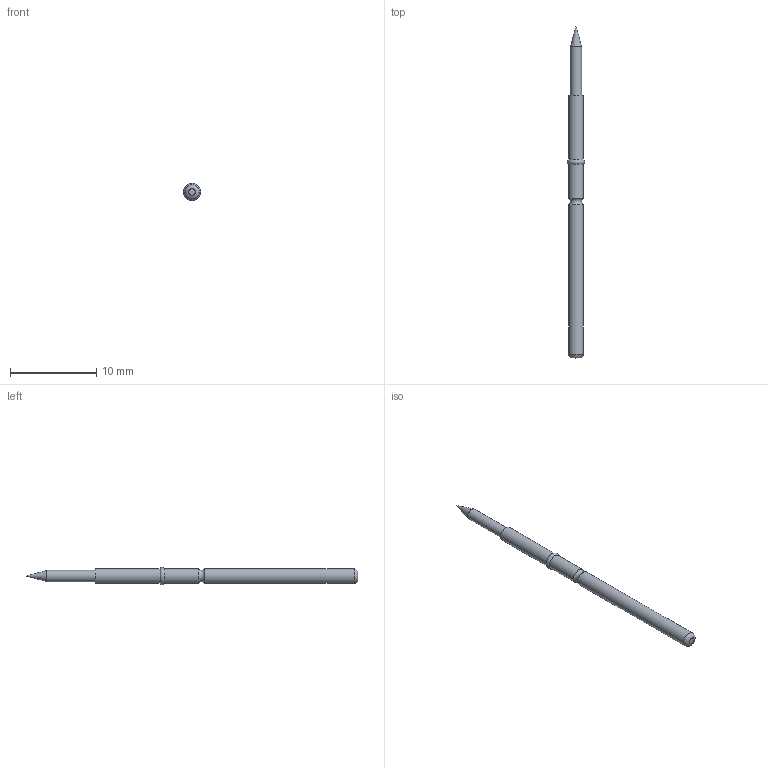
import cadquery as cq
import math

total_length = 38.4
needle_radius = 0.65
barrel_radius = 0.85
collar_radius = 1.0
groove_floor_radius = needle_radius

tip_angle = 30.0
tail_fillet = 0.45

cone_end = needle_radius / math.tan(math.radians(tip_angle / 2))
barrel_start = 8.0
collar_start = 15.5
collar_width = 0.5
groove_start = 19.95
groove_width = 0.7

tip_y = total_length / 2


def revolve_about_pin_axis(profile):
    """Turn a closed half profile into a full solid of revolution about Y."""
    return profile.revolve(360, (0, 0, 0), (0, 1, 0))


def make_needle():
    """Cylindrical needle with a sharp conical point."""
    profile = (
        cq.Workplane("XY")
        .moveTo(0, tip_y)
        .lineTo(needle_radius, tip_y - cone_end)
        .lineTo(needle_radius, tip_y - barrel_start)
        .lineTo(0, tip_y - barrel_start)
        .close()
    )
    return revolve_about_pin_axis(profile)


def make_barrel():
    """Plain barrel with a rounded tail."""
    front_face = cq.Workplane("XZ", origin=(0, tip_y - barrel_start, 0))
    barrel = front_face.circle(barrel_radius).extrude(total_length - barrel_start)
    return barrel.faces("<Y").edges().fillet(tail_fillet)


def make_arc_ring(mid_radius, start, width):
    """Ring bounded by the barrel surface and an arc that reaches mid_radius halfway along."""
    section = (
        cq.Workplane("XY")
        .moveTo(barrel_radius, tip_y - start)
        .threePointArc(
            (mid_radius, tip_y - start - width / 2),
            (barrel_radius, tip_y - start - width),
        )
        .close()
    )
    return revolve_about_pin_axis(section)


stop_collar = make_arc_ring(collar_radius, collar_start, collar_width)
crimp_groove = make_arc_ring(groove_floor_radius, groove_start, groove_width)

result = make_needle().union(make_barrel()).union(stop_collar).cut(crimp_groove)